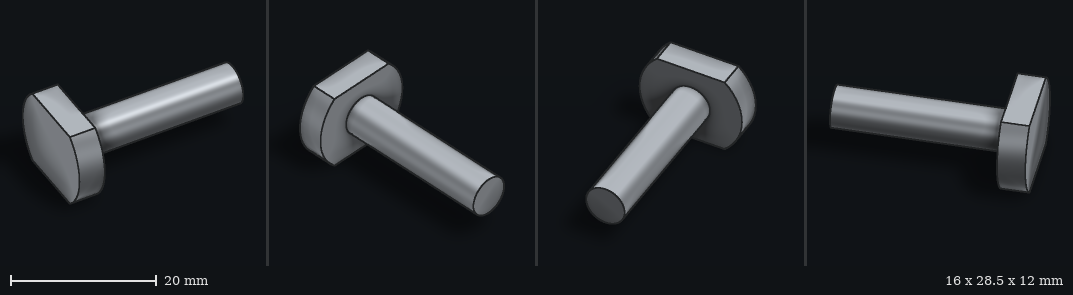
import cadquery as cq

total_length = 28.5
head_diameter = 16.0
head_across_flats = 12.0
head_thickness = 4.0
shank_diameter = 6.0


def cylinder_along_y(diameter, length):
    """Cylinder on the Y axis, from Y = 0 toward +Y."""
    return cq.Workplane("XZ").circle(diameter / 2).extrude(-length)


def flatted_head():
    """Round head cut by two parallel flats facing +Z and -Z."""
    flats = cq.Workplane("XZ").rect(head_diameter, head_across_flats).extrude(-head_thickness)
    return cylinder_along_y(head_diameter, head_thickness).intersect(flats)


shank = cylinder_along_y(shank_diameter, total_length)

result = flatted_head().union(shank, clean=True)